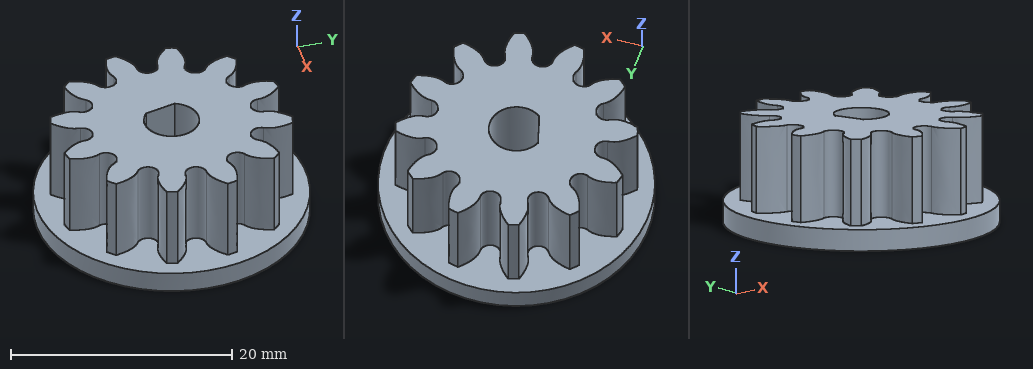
import cadquery as cq
import math

flange_diameter = 25.0
flange_thickness = 2.0
total_height = 10.0

tooth_count = 12
module = 1.5625
addendum_factor = 1.0
root_clearance_factor = 1.25
pressure_angle = math.radians(20)
flank_points = 6

bore_radius = 2.5
bore_flat_distance = 2.0
bore_flat_direction = 195.0

pitch_radius = module * tooth_count / 2
base_radius = pitch_radius * math.cos(pressure_angle)
tip_radius = pitch_radius + addendum_factor * module
root_radius = pitch_radius - root_clearance_factor * module
tooth_pitch = 2 * math.pi / tooth_count
gear_height = total_height - flange_thickness


def involute_angle(radius):
    """Polar angle swept by the involute from the base circle out to a radius."""
    angle = math.acos(base_radius / radius)
    return math.tan(angle) - angle


half_tooth_angle = tooth_pitch / 4 + involute_angle(pitch_radius)
half_gap_angle = tooth_pitch / 2 - half_tooth_angle

gap_center_radius = root_radius / (1 - math.sin(half_gap_angle))
gap_tangent_radius = gap_center_radius * math.cos(half_gap_angle)


def polar(radius, angle):
    return (radius * math.cos(angle), radius * math.sin(angle))


def flank(tooth_angle, side):
    """Points from gap bottom to tip on one flank; side is -1 or +1."""
    points = [polar(gap_tangent_radius, tooth_angle + side * half_tooth_angle)]
    for i in range(flank_points):
        radius = base_radius + (tip_radius - base_radius) * i / (flank_points - 1)
        offset = half_tooth_angle - involute_angle(radius)
        points.append(polar(radius, tooth_angle + side * offset))
    return points


def make_gear():
    start = polar(gap_tangent_radius, half_gap_angle)
    outline = cq.Workplane("XY").workplane(offset=flange_thickness).moveTo(*start)
    for i in range(tooth_count):
        tooth_angle = (i + 0.5) * tooth_pitch
        gap_angle = (i + 1) * tooth_pitch
        rising = flank(tooth_angle, -1)
        falling = flank(tooth_angle, 1)[::-1]
        outline = (
            outline.spline(rising[1:], includeCurrent=True)
            .threePointArc(polar(tip_radius, tooth_angle), falling[0])
            .spline(falling[1:], includeCurrent=True)
            .threePointArc(
                polar(root_radius, gap_angle),
                polar(gap_tangent_radius, gap_angle + half_gap_angle),
            )
        )
    return outline.close().extrude(gear_height)


def make_flange():
    return cq.Workplane("XY").circle(flange_diameter / 2).extrude(flange_thickness)


def make_bore():
    """Through bore: a cylinder cut off by a flat, turned to the flat direction."""
    half_chord = math.sqrt(bore_radius**2 - bore_flat_distance**2)
    return (
        cq.Workplane("XY")
        .moveTo(bore_flat_distance, half_chord)
        .threePointArc((-bore_radius, 0), (bore_flat_distance, -half_chord))
        .close()
        .extrude(total_height)
        .rotate((0, 0, 0), (0, 0, 1), bore_flat_direction)
    )


result = make_flange().union(make_gear()).cut(make_bore())